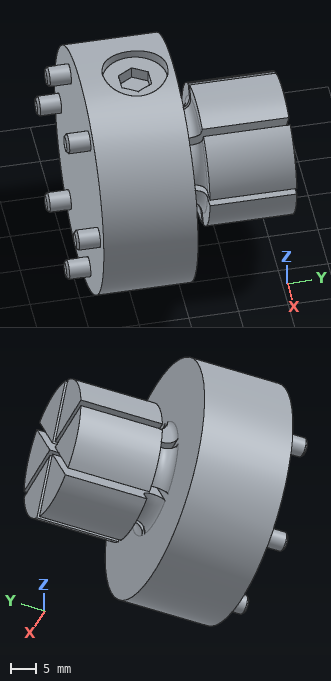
import cadquery as cq
import math


flange_diameter = 50.0
flange_thickness = 19.0

neck_diameter = 19.0
groove_radius = 2.25
groove_width = 2 * groove_radius

jaw_diameter = 28.7
jaw_length = 17.5
slot_width = 1.5
slot_count = 3

screw_from_drive_face = 11.25
screw_recess_diameter = 13.0
screw_recess_depth = 2.5
socket_sides = 6
socket_across_flats = 6.0
socket_depth = 2.5

pin_count = 6
pin_circle_diameter = 39.4
pin_diameter = 4.0
pin_length = 4.75
pin_chamfer = 0.5

flange_radius = flange_diameter / 2
groove_end_y = flange_thickness + groove_width
hub_end_y = groove_end_y + jaw_length


def hub_blank():
    """Flange, half-round neck groove and jaw cylinder, revolved about Y."""
    neck_radius = neck_diameter / 2
    groove_edge_radius = neck_radius + groove_radius
    jaw_radius = jaw_diameter / 2
    return (
        cq.Workplane("XY")
        .lineTo(flange_radius, 0)
        .lineTo(flange_radius, flange_thickness)
        .lineTo(groove_edge_radius, flange_thickness)
        .threePointArc(
            (neck_radius, flange_thickness + groove_radius),
            (groove_edge_radius, groove_end_y),
        )
        .lineTo(jaw_radius, groove_end_y)
        .lineTo(jaw_radius, hub_end_y)
        .lineTo(0, hub_end_y)
        .close()
        .revolve(360, (0, 0, 0), (0, 1, 0))
    )


def jaw_slot(angle):
    """Slot across the full jaw diameter, from the jaw end down to the flange."""
    return (
        cq.Workplane("XY")
        .box(jaw_diameter, hub_end_y - flange_thickness, slot_width, centered=(True, False, True))
        .translate((0, flange_thickness, 0))
        .rotate((0, 0, 0), (0, 1, 0), angle)
    )


def screw_recess():
    """Round recess in the top of the flange, with a hexagon socket in its floor."""
    recess_floor_z = flange_radius - screw_recess_depth
    socket_across_corners = socket_across_flats / math.cos(math.pi / socket_sides)
    recess = (
        cq.Workplane("XY", origin=(0, screw_from_drive_face, recess_floor_z))
        .circle(screw_recess_diameter / 2)
        .extrude(screw_recess_depth)
    )
    socket = (
        cq.Workplane("XY", origin=(0, screw_from_drive_face, recess_floor_z))
        .polygon(socket_sides, socket_across_corners)
        .extrude(-socket_depth)
    )
    return recess.union(socket)


def make_hub():
    body = hub_blank()
    for index in range(slot_count):
        body = body.cut(jaw_slot(index * 180 / slot_count))
    return body.cut(screw_recess())


def make_drive_pin(angle):
    """Pin standing on the drive face, with a chamfered free end."""
    return (
        cq.Workplane("XZ")
        .circle(pin_diameter / 2)
        .extrude(pin_length)
        .faces("<Y")
        .chamfer(pin_chamfer)
        .translate((pin_circle_diameter / 2, 0, 0))
        .rotate((0, 0, 0), (0, 1, 0), angle)
    )


hub = make_hub()
drive_pins = [make_drive_pin(index * 360 / pin_count) for index in range(pin_count)]

result = cq.Compound.makeCompound([hub.val(), *[pin.val() for pin in drive_pins]])